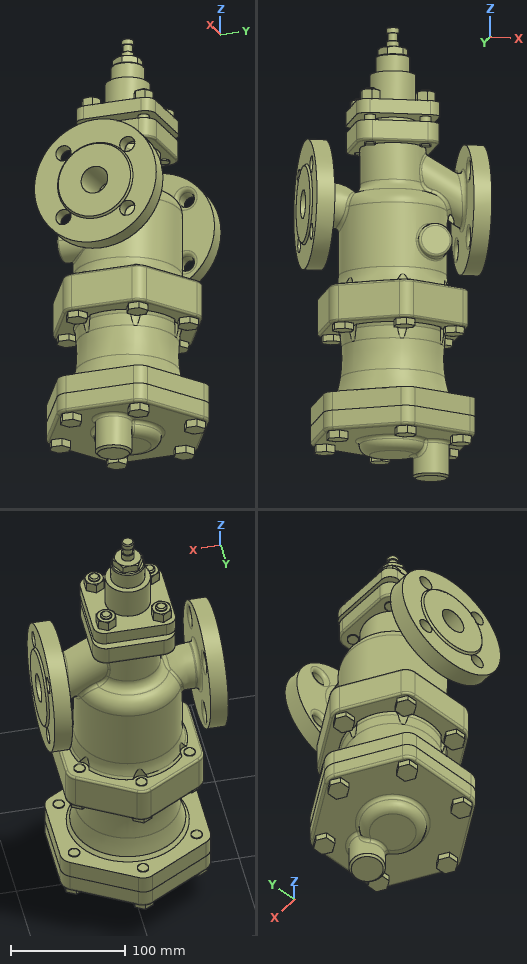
import cadquery as cq
import math


face_to_face = 160.0
raised_face_height = 2.0
raised_face_root_dia = 71.0
raised_face_top_dia = 68.0
flange_dia = 115.0
flange_thickness = 16.0
flange_hole_dia = 14.0
flange_hole_offset = 85.0 / 2 / math.sqrt(2)
bore_dia = 25.0
bore_depth = 40.0
flange_front = face_to_face / 2 - raised_face_height
flange_back = flange_front - flange_thickness
pipe_root_fillet = 4.0
pipe_body_fillet = 3.0


inlet_pipe_dia = 41.0
inlet_bend_start = 57.0
inlet_crown_radius = 35.0
inlet_bend_length = 24.0
inlet_bend_sections = 3
outlet_pipe_dia = 40.0
outlet_pipe_tilt = 30.0
outlet_axis_start = 72.5
outlet_pipe_length = 75.0

screw_top = 160.8
screw_groove_top = 155.3
screw_groove_bottom = 148.3
lock_nut_top = 142.0
spring_case_top = 134.8
bonnet_top = 118.3
bonnet_plate_top = 89.3
bonnet_plate_bottom = 76.8
body_plate_top = 70.5
body_plate_bottom = 52.3
neck_bottom = 19.5
dome_bottom = -4.7
upper_flare_top = -62.2
upper_flare_bottom = -75.0
upper_hex_top = -77.3
upper_hex_bottom = -111.5
waist_fillet_bottom = -114.5
waist_top = -125.6
waist_bottom = -153.5
lower_flare_bottom = -171.5
lower_hex_top = -175.0
lower_hex_split = -191.9
lower_hex_bottom = -209.2
cover_dome_bottom = -221.5
drain_bottom = screw_top - 402.13

screw_dia = 11.0
screw_groove_dia = 8.5
screw_chamfer = 1.0
lock_nut_flats = 23.5
spring_case_dia = 30.0
spring_case_chamfer = 1.0
bonnet_dia = 40.0

plate_width = 74.0
bonnet_plate_corner = 10.0
stud_offset = 70.0 / 2 / math.sqrt(2)
body_plate_corner = plate_width / 2 - stud_offset
body_plate_fillet = 1.8
stud_dia = 10.0
stud_tip_dia = 7.5
stud_chamfer = (stud_dia - stud_tip_dia) / 2
stud_top = 101.0
stud_bottom = 51.0
stud_nut_flats = 16.0
stud_nut_height = 9.5

neck_radius = 58.0 / 2
body_radius = 48.0
neck_fillet = 10.0
dome_radius = 15.0
upper_flare_radius = 50.7
upper_foot_radius = 52.5
waist_fillet_radius = 47.5
waist_shoulder_radius = 46.3
waist_top_radius = 45.3
waist_bottom_radius = 46.4
lower_flare_radius = 51.0
lower_foot_radius = 54.0

boss_x = 29.3
boss_z = -37.6
boss_dia = 29.97
boss_face_y = -50.0
boss_fillet = 2.2
boss_root_fillet = 1.5

upper_bolt_circle_radius = 57.0
lower_bolt_circle_radius = 63.5
hex_corner_radius = 12.5
hex_edge_fillet = 2.0
bolt_dia = 10.0
bolt_tip_height = 1.0
bolt_head_flats = 17.0
upper_bolt_head_height = 5.8
lower_bolt_head_height = 6.7
tip_clearance_radius = 8.3
head_clearance_radius = 11.8
bolts_per_flange = 6

edge_margin = 0.1

cover_edge_fillet = 2.5
cover_dome_radius = 29.5
cover_dome_fillet = 9.0
cover_root_fillet = 3.3
drain_x = 34.0
drain_dia = 32.0
drain_chamfer = 2.0
drain_root_fillet = 3.0


def cylinder(radius, bottom, top, x=0.0, y=0.0):
    """Upright cylinder between two heights."""
    return cq.Workplane("XY", origin=(x, y, bottom)).circle(radius).extrude(top - bottom)


def hex_prism(across_flats, bottom, top, x=0.0, y=0.0, turn=0.0):
    """Upright hexagonal prism with its corners on X, turned about its own axis."""
    corner_dia = across_flats / math.cos(math.pi / 6)
    prism = cq.Workplane("XY").polygon(6, corner_dia).extrude(top - bottom)
    return prism.rotate((0, 0, 0), (0, 0, 1), turn).translate((x, y, bottom))


def nut(across_flats, bottom, top, x=0.0, y=0.0, turn=0.0):
    """Hexagonal nut whose upper corners are turned down to the width across flats."""
    corner_radius = across_flats / 2 / math.cos(math.pi / 6)
    chamfer_width = corner_radius - across_flats / 2
    chamfer_height = chamfer_width * math.tan(math.pi / 6)
    blank = cylinder(corner_radius, bottom, top, x, y)
    blank = blank.faces(">Z").chamfer(chamfer_height, chamfer_width)
    return hex_prism(across_flats, bottom, top, x, y, turn).intersect(blank)


def square_plate(corner, bottom, top):
    """Square plate with round corners."""
    plate = cq.Workplane("XY", origin=(0, 0, bottom)).rect(plate_width, plate_width)
    return plate.extrude(top - bottom).edges("|Z").fillet(corner)


def fillet_inside(solid, low, high, kind, radius):
    """Round the edges of one kind that lie wholly inside the box from low to high."""
    inside = cq.selectors.BoxSelector(low, high, boundingbox=True)
    return solid.edges(inside).edges(kind).fillet(radius)


def hex_plate(bolt_circle_radius, bottom, top):
    """Hexagonal flange plate with corners on Y, each rounded concentric with its bolt."""
    flats = 2 * (bolt_circle_radius * math.cos(math.pi / 6) + hex_corner_radius)
    return hex_prism(flats, bottom, top, turn=90).edges("|Z").fillet(hex_corner_radius)


def bolt_places(bolt_circle_radius):
    """Centres of the bolts of a hexagonal flange, one at each corner."""
    places = []
    for i in range(bolts_per_flange):
        angle = math.pi / 2 + i * 2 * math.pi / bolts_per_flange
        places.append((bolt_circle_radius * math.cos(angle), bolt_circle_radius * math.sin(angle)))
    return places


def adjusting_screw():
    """Grooved adjusting screw with its lock nut."""
    screw = cylinder(screw_dia / 2, bonnet_top, screw_top).faces(">Z").chamfer(screw_chamfer)
    groove = cylinder(screw_dia, screw_groove_bottom, screw_groove_top)
    groove = groove.cut(cylinder(screw_groove_dia / 2, screw_groove_bottom, screw_groove_top))
    return screw.cut(groove).union(nut(lock_nut_flats, spring_case_top, lock_nut_top))


def bonnet():
    """Spring case, bonnet and the two square plates with their studs and nuts."""
    case = cylinder(spring_case_dia / 2, bonnet_plate_top, spring_case_top)
    case = case.faces(">Z").chamfer(spring_case_chamfer)
    solid = case.union(cylinder(bonnet_dia / 2, body_plate_bottom, bonnet_top))
    solid = solid.union(square_plate(bonnet_plate_corner, bonnet_plate_bottom, bonnet_plate_top))
    body_plate = square_plate(body_plate_corner, body_plate_bottom, body_plate_top)
    solid = solid.union(body_plate.faces("<Z").edges().fillet(body_plate_fillet))
    for x in (-stud_offset, stud_offset):
        for y in (-stud_offset, stud_offset):
            stud = cylinder(stud_dia / 2, stud_bottom, stud_top, x, y).faces(">Z").chamfer(stud_chamfer)
            nut_top = bonnet_plate_top + stud_nut_height
            solid = solid.union(stud).union(nut(stud_nut_flats, bonnet_plate_top, nut_top, x, y, turn=30))
    return solid


def turned_body():
    """Turned outside of the body: neck, dome, barrel, flares and waist."""
    dome_center_radius = body_radius - dome_radius
    share = neck_fillet / (neck_fillet + dome_radius)
    fillet_center_radius = neck_radius + neck_fillet
    meet_radius = fillet_center_radius + share * (dome_center_radius - fillet_center_radius)
    meet_height = neck_bottom + share * (dome_bottom - neck_bottom)
    return (
        cq.Workplane("XZ")
        .moveTo(0, body_plate_bottom)
        .lineTo(neck_radius, body_plate_bottom)
        .lineTo(neck_radius, neck_bottom)
        .tangentArcPoint((meet_radius, meet_height), relative=False)
        .tangentArcPoint((body_radius, dome_bottom), relative=False)
        .lineTo(body_radius, upper_flare_top)
        .tangentArcPoint((upper_flare_radius, upper_flare_bottom), relative=False)
        .lineTo(upper_foot_radius, upper_hex_top)
        .lineTo(upper_foot_radius, upper_hex_bottom)
        .lineTo(waist_fillet_radius, upper_hex_bottom)
        .lineTo(waist_shoulder_radius, waist_fillet_bottom)
        .lineTo(waist_top_radius, waist_top)
        .tangentArcPoint((waist_bottom_radius, waist_bottom), relative=False)
        .tangentArcPoint((lower_flare_radius, lower_flare_bottom), relative=False)
        .lineTo(lower_foot_radius, lower_hex_top)
        .lineTo(lower_foot_radius, lower_hex_split)
        .lineTo(0, lower_hex_split)
        .close()
        .revolve(360, (0, 0, 0), (0, 1, 0))
    )


def bolt_clearances():
    """Room around the upper flange bolts, cut into the body above and below the flange."""
    places = bolt_places(upper_bolt_circle_radius)
    above = (
        cq.Workplane("XY", origin=(0, 0, upper_hex_top))
        .pushPoints(places).circle(tip_clearance_radius).extrude(upper_flare_top - upper_hex_top)
    )
    below = (
        cq.Workplane("XY", origin=(0, 0, waist_top))
        .pushPoints(places).circle(head_clearance_radius).extrude(upper_hex_bottom - waist_top)
    )
    return above, below


def upper_hex_flange():
    """Flange clamped by bolts from below, whose tips show on its top."""
    solid = hex_plate(upper_bolt_circle_radius, upper_hex_bottom, upper_hex_top)
    solid = solid.faces("<Z or >Z").edges().fillet(hex_edge_fillet)
    for x, y in bolt_places(upper_bolt_circle_radius):
        solid = solid.union(cylinder(bolt_dia / 2, upper_hex_bottom, upper_hex_top + bolt_tip_height, x, y))
        head_bottom = upper_hex_bottom - upper_bolt_head_height
        solid = solid.union(hex_prism(bolt_head_flats, head_bottom, upper_hex_bottom, x, y, turn=30))
    return solid


def lower_hex_flange():
    """Body half of the lower flange pair, with the bolt tips on top."""
    solid = hex_plate(lower_bolt_circle_radius, lower_hex_split, lower_hex_top)
    for x, y in bolt_places(lower_bolt_circle_radius):
        solid = solid.union(cylinder(bolt_dia / 2, lower_hex_split, lower_hex_top + bolt_tip_height, x, y))
    return solid


def disc_along_x(radius, start, length):
    """Cylinder on the X axis, from start toward +X."""
    return cq.Workplane("YZ", origin=(start, 0, 0)).circle(radius).extrude(length)


def pipe_flange():
    """Flange on the +X side with its tapered raised face and bolt holes."""
    flange = disc_along_x(flange_dia / 2, flange_back, flange_thickness)
    holes = (
        cq.Workplane("YZ", origin=(flange_back, 0, 0))
        .rect(2 * flange_hole_offset, 2 * flange_hole_offset, forConstruction=True)
        .vertices().circle(flange_hole_dia / 2).extrude(flange_thickness)
    )
    raised_face = (
        cq.Workplane("YZ", origin=(flange_front, 0, 0)).circle(raised_face_root_dia / 2)
        .workplane(offset=raised_face_height).circle(raised_face_top_dia / 2).loft()
    )
    return flange.cut(holes).union(raised_face)


def bore():
    """Blind bore into the +X flange face."""
    return disc_along_x(bore_dia / 2, face_to_face / 2 - bore_depth, bore_depth)


def flanged(pipe):
    """Join a pipe that ends on the back of the +X flange to it, with a rounded root."""
    reach = inlet_pipe_dia
    low = (flange_back - edge_margin, -reach, -reach)
    high = (flange_back + edge_margin, reach, reach)
    return fillet_inside(pipe_flange().union(pipe), low, high, "%CIRCLE or %ELLIPSE", pipe_root_fillet)


def inlet():
    """Flange on the -X side with a pipe whose crown falls on an arc while its underside runs straight."""
    pipe_radius = inlet_pipe_dia / 2
    pipe = disc_along_x(pipe_radius, inlet_bend_start, flange_back - inlet_bend_start)
    step = inlet_bend_length / inlet_bend_sections
    sections = []
    for i in range(inlet_bend_sections + 1):
        run = i * step
        crown_drop = inlet_crown_radius - math.sqrt(inlet_crown_radius ** 2 - run ** 2)
        center = (inlet_bend_start - run, 0, -crown_drop / 2)
        section = cq.Workplane("YZ", origin=center).ellipse(pipe_radius, pipe_radius - crown_drop / 2)
        sections.append(section.val())
    bend = cq.Workplane(cq.Solid.makeLoft(sections))
    return flanged(pipe).union(bend).mirror("YZ")


def outlet():
    """Flange with a pipe that rises at an angle into the neck."""
    tilt = math.radians(outlet_pipe_tilt)
    plane = cq.Plane(origin=(outlet_axis_start, 0, 0), xDir=(0, 1, 0),
                     normal=(-math.cos(tilt), 0, math.sin(tilt)))
    pipe = cq.Workplane(plane).circle(outlet_pipe_dia / 2).extrude(outlet_pipe_length, both=True)
    behind_flange = disc_along_x(flange_dia, 0, flange_back)
    pipe = pipe.intersect(behind_flange)
    return flanged(pipe)


def add_side_boss(solid):
    """Add the round boss on the -Y side of the barrel, with a rounded face and root."""
    boss = (
        cq.Workplane("XZ", origin=(boss_x, boss_face_y, boss_z))
        .circle(boss_dia / 2).extrude(boss_face_y)
        .faces("<Y").edges().fillet(boss_fillet)
    )
    reach = boss_dia / 2 + edge_margin
    low = (boss_x - reach, boss_face_y + boss_fillet + edge_margin, boss_z - reach)
    high = (boss_x + reach, 0, boss_z + reach)
    return fillet_inside(solid.union(boss), low, high, "%BSPLINE", boss_root_fillet)


def add_pipes(solid):
    """Add both flanged pipes, rounded where they meet the body."""
    reach = inlet_pipe_dia / 2 + edge_margin
    inlet_low = (edge_margin - inlet_bend_start, -reach, -reach)
    solid = fillet_inside(solid.union(inlet()), inlet_low, (0, reach, reach), "%BSPLINE", pipe_body_fillet)
    outlet_low = (0, -reach, -reach)
    outlet_high = (flange_back - pipe_root_fillet, reach, body_plate_bottom)
    return fillet_inside(solid.union(outlet()), outlet_low, outlet_high, "%BSPLINE", pipe_body_fillet)


def main_body():
    """Everything above the lower flange joint, as one solid."""
    above, below = bolt_clearances()
    solid = turned_body().cut(above).cut(below)
    solid = add_side_boss(add_pipes(solid))
    solid = solid.union(upper_hex_flange()).union(lower_hex_flange())
    solid = solid.union(bonnet()).union(adjusting_screw())
    return solid.cut(bore()).cut(bore().mirror("YZ"))


def bottom_cover():
    """Cover under the lower flange joint with its dome, bolt heads and drain pipe."""
    plate = hex_plate(lower_bolt_circle_radius, lower_hex_bottom, lower_hex_split)
    plate = plate.faces("<Z").edges().fillet(cover_edge_fillet)
    root_z = lower_hex_bottom - cover_root_fillet
    dome = (
        cq.Workplane("XZ")
        .moveTo(0, lower_hex_bottom)
        .lineTo(cover_dome_radius + cover_root_fillet, lower_hex_bottom)
        .radiusArc((cover_dome_radius, root_z), -cover_root_fillet)
        .radiusArc((cover_dome_radius - cover_dome_fillet, cover_dome_bottom), cover_dome_fillet)
        .lineTo(0, cover_dome_bottom)
        .close()
        .revolve(360, (0, 0, 0), (0, 1, 0))
    )
    drain = cylinder(drain_dia / 2, drain_bottom, lower_hex_bottom, x=drain_x)
    solid = plate.union(dome).union(drain.faces("<Z").chamfer(drain_chamfer))
    reach = drain_dia / 2 + edge_margin
    low = (drain_x - reach, -reach, cover_dome_bottom - edge_margin)
    high = (drain_x, reach, lower_hex_bottom - edge_margin)
    solid = fillet_inside(solid, low, high, "%BSPLINE or %CIRCLE", drain_root_fillet)
    for x, y in bolt_places(lower_bolt_circle_radius):
        head_bottom = lower_hex_bottom - lower_bolt_head_height
        solid = solid.union(hex_prism(bolt_head_flats, head_bottom, lower_hex_bottom, x, y, turn=30))
    return solid


body = main_body()
cover = bottom_cover()
result = cq.Compound.makeCompound([body.val(), cover.val()])